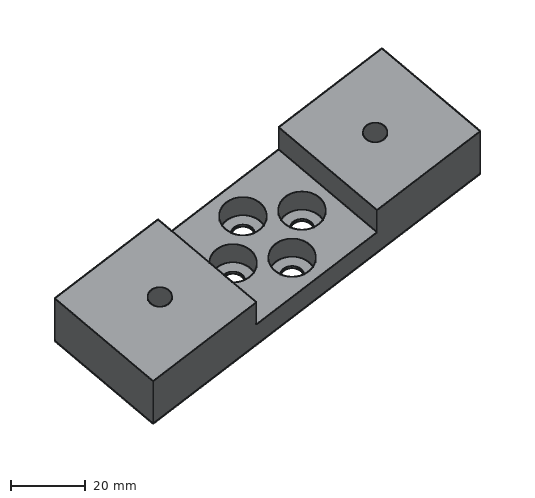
import cadquery as cq

INCH = 25.4

width = 1.5 * INCH
length = 4.75 * INCH
height = 0.75 * INCH

channel_length = 1.75 * INCH
channel_depth = 0.39 * INCH
floor_height = height - channel_depth

hole_diameter = 0.257 * INCH
end_hole_spacing = 3.125 * INCH
counterbore_diameter = 0.5 * INCH
counterbore_depth = 0.32 * INCH
bolt_spacing_x = 0.75 * INCH
bolt_spacing_y = 1.0 * INCH

end_hole_points = [(0, side * end_hole_spacing / 2) for side in (-1, 1)]
bolt_points = [(side * bolt_spacing_x / 2, 0) for side in (-1, 1)]
bolt_points += [(0, side * bolt_spacing_y / 2) for side in (-1, 1)]


def make_block():
    """Rectangular block standing on the XY plane, centred on the Z axis."""
    return cq.Workplane("XY").box(width, length, height, centered=(True, True, False))


def cut_channel(body):
    """Lower the middle of the block, leaving a raised pad at each end."""
    channel = (
        cq.Workplane("XY", origin=(0, 0, floor_height))
        .box(width, channel_length, channel_depth, centered=(True, True, False))
    )
    return body.cut(channel)


def drill_end_holes(body):
    """Plain through hole in each raised pad."""
    drills = (
        cq.Workplane("XY")
        .pushPoints(end_hole_points)
        .circle(hole_diameter / 2)
        .extrude(height)
    )
    return body.cut(drills)


def drill_bolt_holes(body):
    """Diamond of four counterbored through holes in the channel floor."""
    return (
        body.copyWorkplane(cq.Workplane("XY", origin=(0, 0, floor_height)))
        .pushPoints(bolt_points)
        .cboreHole(hole_diameter, counterbore_diameter, counterbore_depth)
    )


result = make_block()
result = cut_channel(result)
result = drill_end_holes(result)
result = drill_bolt_holes(result)